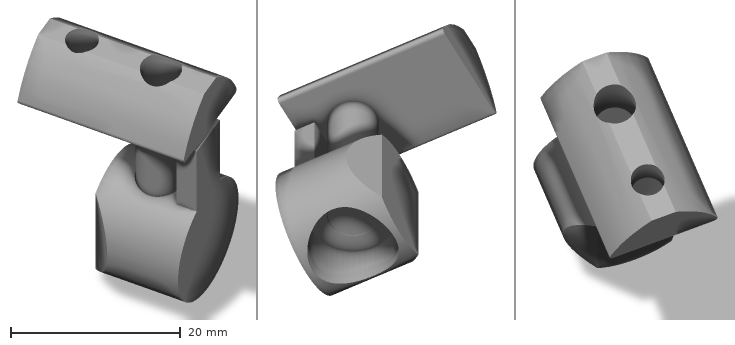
import cadquery as cq
import math


housing_diameter = 15.7
housing_radius = housing_diameter / 2
housing_length = 12.5
end_chamfer = 3.15
tab_thickness = 2.67
tab_width = 6.0
tab_top = 25.0
clearance_diameter = 6.2
counterbore_diameter = 10.8
counterbore_floor = housing_radius

nut_left = -15.5
nut_length = 22.0
nut_top = 33.35
nut_height = 6.95
nut_bottom = nut_top - nut_height
nut_top_width = 3.07
nut_base_width = 14.2
nut_flank_radius = 14.0
nut_corner_radius = 0.5
screw_hole_diameter = 5.0
dimple_diameter = 4.0
dimple_x = -10.47
dimple_depth = 4.0
dimple_tip_angle = 118.0

screw_diameter = 6.0


def upright_cylinder(diameter, bottom, top):
    """Cylinder on the Z axis between two heights."""
    return cq.Workplane("XY").workplane(offset=bottom).circle(diameter / 2).extrude(top - bottom)


def make_barrel():
    """Cylinder along X with two flats sloping at 45 degrees at its -X end."""
    barrel = (
        cq.Workplane("YZ", origin=(-housing_length / 2, 0, housing_radius))
        .circle(housing_radius)
        .extrude(housing_length)
    )
    half_length = housing_length / 2
    nose_half_width = housing_radius - end_chamfer
    plan = (
        cq.Workplane("XY")
        .moveTo(-half_length, -nose_half_width)
        .lineTo(-half_length + end_chamfer, -housing_radius)
        .lineTo(half_length, -housing_radius)
        .lineTo(half_length, housing_radius)
        .lineTo(-half_length + end_chamfer, housing_radius)
        .lineTo(-half_length, nose_half_width)
        .close()
        .extrude(housing_diameter)
    )
    return barrel.intersect(plan)


def make_tab():
    """Upright plate flush with the +X end, rooted at the barrel axis."""
    return (
        cq.Workplane("XY", origin=(housing_length / 2 - tab_thickness / 2, 0, housing_radius))
        .rect(tab_thickness, tab_width)
        .extrude(tab_top - housing_radius)
    )


def make_housing():
    """Barrel and tab, with a stepped vertical hole for the screw."""
    clearance_hole = upright_cylinder(clearance_diameter, 0, housing_diameter)
    counterbore = upright_cylinder(counterbore_diameter, 0, counterbore_floor)
    return make_barrel().union(make_tab()).cut(clearance_hole).cut(counterbore)


def make_nut_bar():
    """Bar with convex flanks, a narrow flat top and rounded bottom corners."""
    top_y = nut_top_width / 2
    base_y = nut_base_width / 2
    return (
        cq.Workplane("YZ", origin=(nut_left, 0, 0))
        .moveTo(-base_y, nut_bottom)
        .lineTo(base_y, nut_bottom)
        .radiusArc((top_y, nut_top), -nut_flank_radius)
        .lineTo(-top_y, nut_top)
        .radiusArc((-base_y, nut_bottom), -nut_flank_radius)
        .close()
        .extrude(nut_length)
        .edges("|X and <Z")
        .fillet(nut_corner_radius)
    )


def make_dimple():
    """Blind drilled hole with a conical tip."""
    radius = dimple_diameter / 2
    tip_depth = radius / math.tan(math.radians(dimple_tip_angle / 2))
    return (
        cq.Workplane("XZ", origin=(dimple_x, 0, nut_top))
        .lineTo(radius, 0)
        .lineTo(radius, -dimple_depth)
        .lineTo(0, -dimple_depth - tip_depth)
        .close()
        .revolve(360, (0, 0, 0), (0, 1, 0))
    )


def make_nut():
    """Slot nut with a through hole above the screw and a drilled dimple."""
    screw_hole = upright_cylinder(screw_hole_diameter, nut_bottom, nut_top)
    return make_nut_bar().cut(screw_hole).cut(make_dimple())


def make_screw():
    """Plain screw shank; its flat end closes the hole in the nut from below."""
    return upright_cylinder(screw_diameter, counterbore_floor, nut_bottom)


housing = make_housing()
nut = make_nut()
screw = make_screw()

result = cq.Compound.makeCompound([housing.val(), nut.val(), screw.val()])